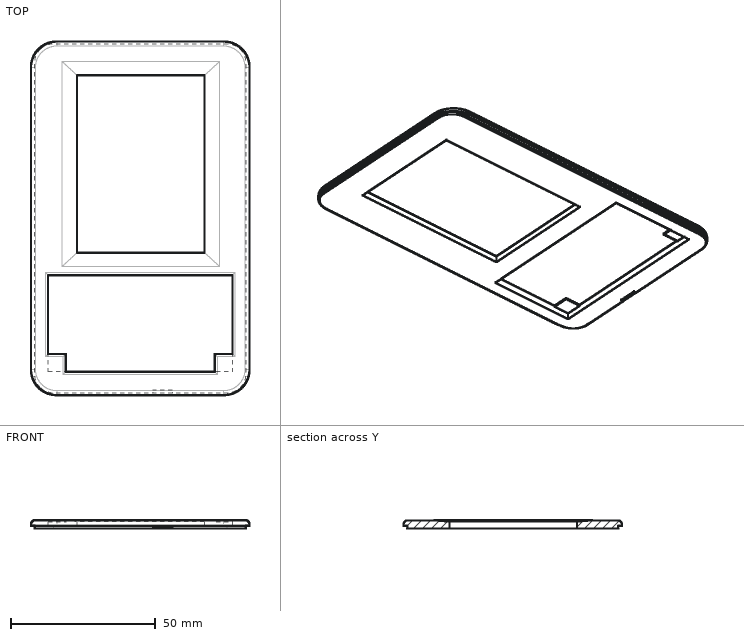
import cadquery as cq

LENGTH_X = 75.64
LENGTH_Y = 122.33
HEIGHT = 3.0
CORNER_RADIUS = 9.0
EDGE_FILLET = 1.6

STEP_HEIGHT = 1.0
STEP_INSET_X = 1.3
STEP_INSET_Y = 0.85
STEP_CORNER_RADIUS = 6.5
STEP_X = LENGTH_X - 2 * STEP_INSET_X
STEP_Y = LENGTH_Y - 2 * STEP_INSET_Y

NOTCH_LEFT = 4.4
NOTCH_WIDTH = 6.8
NOTCH_HEIGHT = 0.5
NOTCH_DEPTH = 1.0

WINDOW_X = 44.0
WINDOW_Y = 61.2
WINDOW_CENTER = (0.2, 18.8)
WINDOW_BEVEL_X = 5.2
WINDOW_BEVEL_Y = 4.8
WINDOW_BEVEL_DEPTH = 0.5

KEYPAD_TOP = -19.7
KEYPAD_SHOULDER = -46.8
KEYPAD_BOTTOM = -53.0
KEYPAD_WIDTH = 63.6
KEYPAD_FOOT_WIDTH = 51.4
KEYPAD_CHAMFER = 1.0
KEYPAD_CHAMFER_DEPTH = 0.2
KEYPAD_TAB_THICKNESS = 0.6


def rounded_slab(size_x, size_y, corner_radius, bottom, top):
    """Centred rectangular slab with rounded corners between two heights."""
    return (
        cq.Workplane("XY")
        .workplane(offset=bottom)
        .rect(size_x, size_y)
        .extrude(top - bottom)
        .edges("|Z")
        .fillet(corner_radius)
    )


def frame_body():
    """Plate with a rounded upper edge, standing on the smaller step."""
    plate = rounded_slab(LENGTH_X, LENGTH_Y, CORNER_RADIUS, STEP_HEIGHT, HEIGHT)
    plate = plate.faces(">Z").edges().fillet(EDGE_FILLET)
    step = rounded_slab(STEP_X, STEP_Y, STEP_CORNER_RADIUS, 0, STEP_HEIGHT)
    return plate.union(step)


def notch_cutter():
    """Shallow notch entering the step from its front face."""
    return cq.Workplane("XY").box(NOTCH_WIDTH, NOTCH_DEPTH, NOTCH_HEIGHT, centered=False).translate(
        (NOTCH_LEFT, -STEP_Y / 2, 0)
    )


def window_cutter():
    """Through window widening to the top face in a four-sided bevel."""
    through = cq.Workplane("XY").center(*WINDOW_CENTER).rect(WINDOW_X, WINDOW_Y).extrude(HEIGHT)
    bevel = (
        cq.Workplane("XY")
        .workplane(offset=HEIGHT - WINDOW_BEVEL_DEPTH)
        .center(*WINDOW_CENTER)
        .rect(WINDOW_X, WINDOW_Y)
        .workplane(offset=WINDOW_BEVEL_DEPTH)
        .rect(WINDOW_X + 2 * WINDOW_BEVEL_X, WINDOW_Y + 2 * WINDOW_BEVEL_Y)
        .loft(ruled=True)
    )
    return through.union(bevel)


def keypad_outline(height, growth):
    """Stepped keypad outline at a height, moved outward by the growth."""
    half_width = KEYPAD_WIDTH / 2 + growth
    half_foot = KEYPAD_FOOT_WIDTH / 2 + growth
    top = KEYPAD_TOP + growth
    shoulder = KEYPAD_SHOULDER - growth
    bottom = KEYPAD_BOTTOM - growth
    return cq.Wire.makePolygon(
        [
            cq.Vector(-half_width, top, height),
            cq.Vector(half_width, top, height),
            cq.Vector(half_width, shoulder, height),
            cq.Vector(half_foot, shoulder, height),
            cq.Vector(half_foot, bottom, height),
            cq.Vector(-half_foot, bottom, height),
            cq.Vector(-half_foot, shoulder, height),
            cq.Vector(-half_width, shoulder, height),
        ],
        close=True,
    )


def keypad_cutter():
    """Through keypad opening with a chamfer around its upper rim."""
    chamfer_start = HEIGHT - KEYPAD_CHAMFER_DEPTH
    lower = keypad_outline(chamfer_start, 0)
    upper = keypad_outline(HEIGHT, KEYPAD_CHAMFER)
    chamfer = cq.Solid.makeLoft([lower, upper], True)
    through = cq.Solid.extrudeLinear(keypad_outline(0, 0), [], cq.Vector(0, 0, HEIGHT))
    return cq.Workplane(through).union(cq.Workplane(chamfer))


def tab_relief_cutter():
    """Rectangular pocket from below that thins the two corner tabs of the keypad opening."""
    relief_length = KEYPAD_TOP - KEYPAD_BOTTOM
    relief_center_y = (KEYPAD_TOP + KEYPAD_BOTTOM) / 2
    return (
        cq.Workplane("XY")
        .center(0, relief_center_y)
        .rect(KEYPAD_WIDTH, relief_length)
        .extrude(HEIGHT - KEYPAD_TAB_THICKNESS)
    )


result = (
    frame_body()
    .cut(window_cutter())
    .cut(keypad_cutter())
    .cut(tab_relief_cutter())
    .cut(notch_cutter())
)